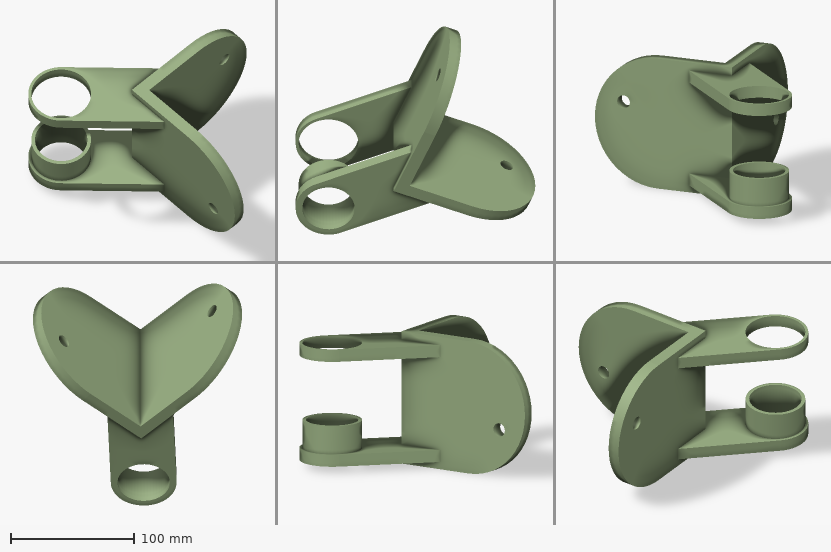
import cadquery as cq
import math

overall = 187.1
plate_length = 120.0
plate_height = 110.0
thickness = 10.0
mount_hole_diameter = 11.0
mount_hole_end_distance = 25.0
mount_hole_offset = 15.0
arm_width = 53.3
upper_arm_height = 43.2
lower_arm_height = -44.0
tube_outer_diameter = 48.5
tube_inner_diameter = 42.5
tube_height = 23.2

end_radius = plate_height / 2
arm_radius = arm_width / 2
ring_center = -(overall - plate_length - arm_radius)
arm_reach = -ring_center * math.sqrt(2)
upper_arm_bottom = upper_arm_height - thickness / 2
lower_arm_bottom = lower_arm_height - thickness / 2
lower_arm_top = lower_arm_bottom + thickness


def plate(hole_height):
    """Round-ended plate along +X, with its outer face on Y = 0."""
    straight = plate_length - end_radius
    body = (
        cq.Workplane("XZ")
        .moveTo(0, -end_radius)
        .lineTo(straight, -end_radius)
        .threePointArc((plate_length, 0), (straight, end_radius))
        .lineTo(0, end_radius)
        .close()
        .extrude(-thickness)
    )
    hole = (
        cq.Workplane("XZ")
        .center(plate_length - mount_hole_end_distance, hole_height)
        .circle(mount_hole_diameter / 2)
        .extrude(-thickness)
    )
    return body.cut(hole)


def arm(bottom):
    """Diagonal round-ended arm, trimmed to the outer faces of the plates."""
    inner_end = arm_radius
    strip = (
        cq.Workplane("XY", origin=(0, 0, bottom))
        .moveTo(inner_end, -arm_radius)
        .lineTo(-arm_reach, -arm_radius)
        .threePointArc((-arm_reach - arm_radius, 0), (-arm_reach, arm_radius))
        .lineTo(inner_end, arm_radius)
        .close()
        .extrude(thickness)
        .rotate((0, 0, 0), (0, 0, 1), 45)
    )
    inside_corner = cq.Workplane("XY").box(overall, overall, overall, centered=(False, False, True))
    return strip.cut(inside_corner)


def ring_cylinder(diameter, bottom, height):
    """Vertical cylinder on the common axis of the arm ends."""
    return (
        cq.Workplane("XY", origin=(ring_center, ring_center, bottom))
        .circle(diameter / 2)
        .extrude(height)
    )


x_plate = plate(-mount_hole_offset)
y_plate = plate(mount_hole_offset).mirror("XZ").rotate((0, 0, 0), (0, 0, 1), 90)

upper_arm = arm(upper_arm_bottom).cut(ring_cylinder(tube_outer_diameter, upper_arm_bottom, thickness))
tube = ring_cylinder(tube_outer_diameter, lower_arm_top, tube_height)
tube_bore = ring_cylinder(tube_inner_diameter, lower_arm_bottom, thickness + tube_height)
lower_arm = arm(lower_arm_bottom).union(tube).cut(tube_bore)

result = x_plate.union(y_plate).union(upper_arm).union(lower_arm)